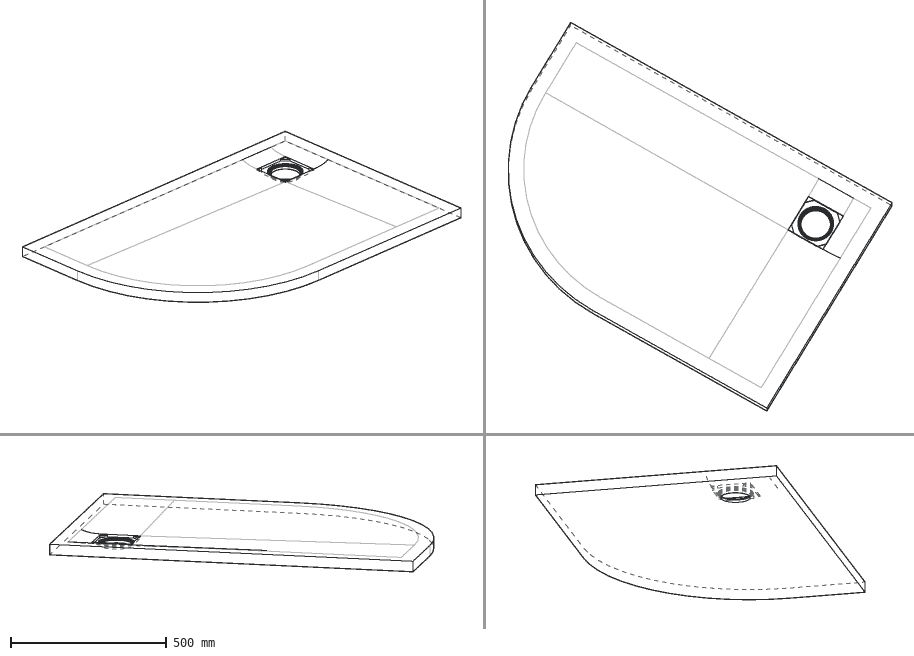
import cadquery as cq
import math

LENGTH_X = 800.0
LENGTH_Y = 1200.0
THICKNESS = 35.0
CORNER_RADIUS = 550.0
RIM_WIDTH = 50.0

FLOOR_DROP = 12.0
LID_HEIGHT = 10.0
CORNER_STEPS = 6

SEAT_SIZE = 130.0
SEAT_INSET = 115.0
SEAT_DEPTH = 3.0
POCKET_CHAMFER = 22.0
POCKET_DEPTH = 8.0

BORE_DIAMETER = 95.0
BORE_STEPS = ((115.0, 1.5), (111.0, 3.0), (105.0, 4.5), (100.0, 6.0))

RIM_Z = THICKNESS
FLOOR_Z = RIM_Z - FLOOR_DROP
POCKET_Z = FLOOR_Z - POCKET_DEPTH
BASIN_RIGHT = LENGTH_X / 2 - RIM_WIDTH
BASIN_LEFT = -BASIN_RIGHT
BASIN_BACK = LENGTH_Y / 2 - RIM_WIDTH
BASIN_FRONT = -BASIN_BACK
BASIN_RADIUS = CORNER_RADIUS - RIM_WIDTH
SEAT_LEFT = SEAT_INSET - LENGTH_X / 2
SEAT_RIGHT = SEAT_LEFT + SEAT_SIZE
SEAT_BACK = LENGTH_Y / 2 - SEAT_INSET
SEAT_FRONT = SEAT_BACK - SEAT_SIZE
WALL_REACH = SEAT_INSET - RIM_WIDTH
WALL_SPAN = WALL_REACH + SEAT_SIZE
DRAIN_X = (SEAT_LEFT + SEAT_RIGHT) / 2
DRAIN_Y = (SEAT_FRONT + SEAT_BACK) / 2

INWARD_FROM_LEFT = cq.Vector(1, 0, 0)
INWARD_FROM_BACK = cq.Vector(0, -1, 0)

STEEP_SHARE = 0.4
EASING_SHARE = 0.77
RUN_OUT_SHARE = 0.43
CORNER_SHARE = 0.5

WALL_RUNS = (
    0.0,
    STEEP_SHARE * WALL_REACH,
    EASING_SHARE * WALL_REACH,
    WALL_REACH,
    WALL_REACH + RUN_OUT_SHARE * SEAT_SIZE,
    WALL_SPAN,
)


def make_slab():
    """Flat slab whose front right corner is a large quarter round."""
    slab = cq.Workplane("XY").box(LENGTH_X, LENGTH_Y, THICKNESS, centered=(True, True, False))
    return slab.edges("|Z and >X and <Y").fillet(CORNER_RADIUS)


def wall_point(share):
    """Inward run and relative fall of the Bezier wall curve at a share of its parameter."""
    degree = len(WALL_RUNS) - 1
    run = 0.0
    for index, control_run in enumerate(WALL_RUNS):
        run += math.comb(degree, index) * share**index * (1 - share) ** (degree - index) * control_run
    return run, 1 - (1 - share) ** degree


def cutter_section(origin, inward, drop):
    """Closed upright wire: a wall curve that falls by drop inward from the rim, and a lid above it."""
    level = [origin + inward * run - cq.Vector(0, 0, drop) for run in WALL_RUNS[1:]]
    lid = cq.Vector(0, 0, LID_HEIGHT)
    inner_top = origin + inward * WALL_SPAN + lid
    return cq.Wire.assembleEdges([
        cq.Edge.makeBezier([origin] + level),
        cq.Edge.makeLine(level[-1], inner_top),
        cq.Edge.makeLine(inner_top, origin + lid),
        cq.Edge.makeLine(origin + lid, origin),
    ])


def left_section(y, drop):
    return cutter_section(cq.Vector(BASIN_LEFT, y, RIM_Z), INWARD_FROM_LEFT, drop)


def back_section(x, drop):
    return cutter_section(cq.Vector(x, BASIN_BACK, RIM_Z), INWARD_FROM_BACK, drop)


def make_left_floor():
    """Floor in front of the seat, rising from the seat to the front rim."""
    return cq.Solid.makeLoft([left_section(SEAT_FRONT, FLOOR_DROP), left_section(BASIN_FRONT, 0)], True)


def make_back_floor():
    """Floor to the right of the seat, rising from the seat to the right rim."""
    return cq.Solid.makeLoft([back_section(SEAT_RIGHT, FLOOR_DROP), back_section(BASIN_RIGHT, 0)], True)


def make_seat_floor():
    """Left wall beside the seat, and behind it the corner where left and back walls blend."""
    corner_sections = []
    for step in range(CORNER_STEPS + 1):
        run, fall = wall_point(CORNER_SHARE * step / CORNER_STEPS)
        corner_sections.append(left_section(BASIN_BACK - run, FLOOR_DROP * fall))
    corner = cq.Solid.makeLoft(corner_sections)
    wall = cq.Solid.makeLoft([corner_sections[-1], left_section(SEAT_FRONT, FLOOR_DROP)], True)
    return corner, wall


def make_right_floor():
    """Floor rising from the seat corner to the right rim, the round rim and the front rim."""
    line = cq.Edge.makeLine
    rim_corner = cq.Vector(SEAT_RIGHT, SEAT_FRONT, RIM_Z)
    low_corner = rim_corner - cq.Vector(0, 0, FLOOR_DROP)
    right = cq.Vector(BASIN_RIGHT, SEAT_FRONT, RIM_Z)
    front = cq.Vector(SEAT_RIGHT, BASIN_FRONT, RIM_Z)
    arc_centre = cq.Vector(BASIN_RIGHT - BASIN_RADIUS, BASIN_FRONT + BASIN_RADIUS, RIM_Z)
    arc_right = arc_centre + cq.Vector(BASIN_RADIUS, 0, 0)
    arc_middle = arc_centre + cq.Vector(1, -1, 0).normalized() * BASIN_RADIUS
    arc_front = arc_centre - cq.Vector(0, BASIN_RADIUS, 0)

    rim = [
        line(right, arc_right),
        cq.Edge.makeThreePointArc(arc_right, arc_middle, arc_front),
        line(arc_front, front),
    ]
    floor_edges = rim + [line(front, low_corner), line(low_corner, right)]
    rim_edges = rim + [line(front, rim_corner), line(rim_corner, right)]
    lid_edges = [edge.translate(cq.Vector(0, 0, LID_HEIGHT)) for edge in rim_edges]

    faces = [cq.Face.makeRuledSurface(lower, upper) for lower, upper in zip(floor_edges, lid_edges)]
    faces.append(cq.Face.makeNSidedSurface(floor_edges, []))
    faces.append(cq.Face.makeFromWires(cq.Wire.assembleEdges(lid_edges)))
    return cq.Solid.makeSolid(cq.Shell.makeShell(faces)).fix()


def seat_block(bottom, top):
    """Square block over the drain seat."""
    seat = cq.Workplane("XY", origin=(DRAIN_X, DRAIN_Y, bottom))
    return seat.rect(SEAT_SIZE, SEAT_SIZE).extrude(top - bottom)


def make_drain():
    """Square seat, chamfered pocket and stepped bore, as one cutting tool."""
    drain = seat_block(FLOOR_Z - SEAT_DEPTH, RIM_Z)
    drain = drain.union(seat_block(POCKET_Z, FLOOR_Z).edges("|Z").chamfer(POCKET_CHAMFER))
    for diameter, depth in BORE_STEPS + ((BORE_DIAMETER, POCKET_Z),):
        step = cq.Workplane("XY", origin=(DRAIN_X, DRAIN_Y, POCKET_Z - depth))
        drain = drain.union(step.circle(diameter / 2).extrude(depth))
    return drain


result = make_slab()
for cutter in (make_left_floor(), make_back_floor(), *make_seat_floor(), make_right_floor()):
    result = result.cut(cq.Workplane(cutter))
result = result.cut(make_drain()).solids()